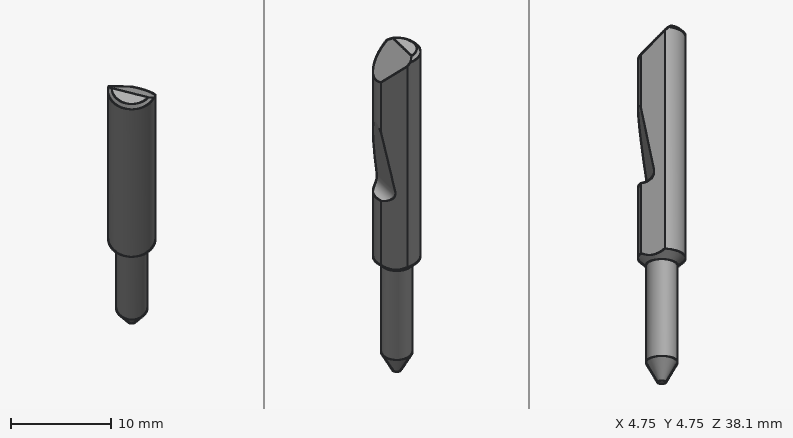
import cadquery as cq
import math

total_length = 38.1
body_diameter = 4.75
pin_diameter = 3.15
tip_diameter = 0.85
tip_length = 2.17
shoulder_height = 13.53
top_chamfer = 0.4

flat_offset = 2.0
flat_direction = 143.0

bevel_start_y = -0.6

notch_bottom = 21.2
notch_top = 30.1
notch_radius = 1.0
notch_depth = 1.3

body_radius = body_diameter / 2
pin_radius = pin_diameter / 2
tip_radius = tip_diameter / 2
clearance = 0.4


def turned_blank():
    """Revolved pin with a conical tip, 45 degree shoulder and chamfered top."""
    shoulder_drop = body_radius - pin_radius
    profile = (
        cq.Workplane("XZ")
        .moveTo(0, 0)
        .lineTo(tip_radius, 0)
        .lineTo(pin_radius, tip_length)
        .lineTo(pin_radius, shoulder_height - shoulder_drop)
        .lineTo(body_radius, shoulder_height)
        .lineTo(body_radius, total_length - top_chamfer)
        .lineTo(body_radius - top_chamfer, total_length)
        .lineTo(0, total_length)
        .close()
    )
    return profile.revolve(360, (0, 0, 0), (0, 1, 0))


def flat_cutter():
    """Block lying outside the flat, over the full length."""
    block = cq.Workplane("XY").box(
        body_radius, 2 * body_diameter, total_length, centered=(False, True, False)
    )
    return block.translate((flat_offset, 0, 0)).rotate((0, 0, 0), (0, 0, 1), flat_direction)


def across_body(profile):
    """Extrude a YZ outline through the whole width of the body."""
    return profile.extrude(body_radius + clearance, both=True)


def bevel_cutter():
    """Triangle removing the +Y side of the top end."""
    outer_y = body_radius + clearance
    drop = outer_y - bevel_start_y
    profile = (
        cq.Workplane("YZ")
        .moveTo(bevel_start_y, total_length)
        .lineTo(outer_y, total_length - drop)
        .lineTo(outer_y, total_length + clearance)
        .lineTo(bevel_start_y, total_length + clearance)
        .close()
    )
    return across_body(profile)


def notch_cutter():
    """Notch whose sloping face runs tangent into its rounded lower end."""
    center_y = body_radius - notch_depth + notch_radius
    center_z = notch_bottom + notch_radius

    reach_y = body_radius - center_y
    reach_z = notch_top - center_z
    reach = math.hypot(reach_y, reach_z)
    tangent_angle = math.atan2(reach_z, reach_y) + math.acos(notch_radius / reach)
    middle_angle = (tangent_angle + 1.5 * math.pi) / 2

    def on_round(angle):
        return (
            center_y + notch_radius * math.cos(angle),
            center_z + notch_radius * math.sin(angle),
        )

    outer_y = body_radius + clearance
    profile = (
        cq.Workplane("YZ")
        .moveTo(body_radius, notch_top)
        .lineTo(*on_round(tangent_angle))
        .threePointArc(on_round(middle_angle), on_round(1.5 * math.pi))
        .lineTo(outer_y, notch_bottom)
        .lineTo(outer_y, notch_top)
        .close()
    )
    return across_body(profile)


result = turned_blank().cut(flat_cutter()).cut(bevel_cutter()).cut(notch_cutter())